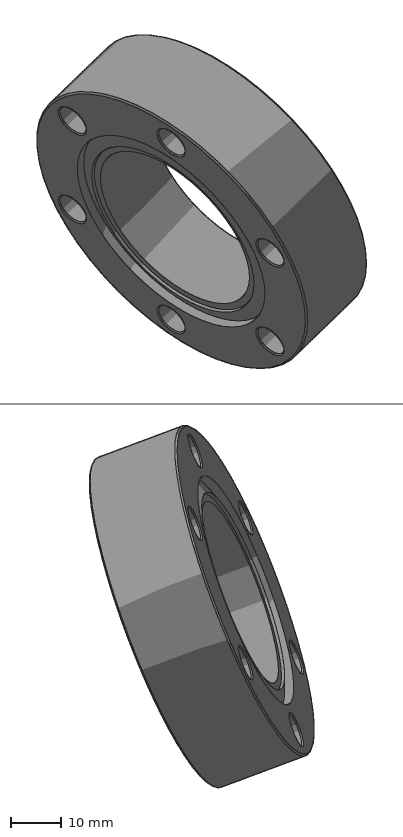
import cadquery as cq

outer_radius = 35.0
thickness = 19.0
bore_radius = 19.25
edge_chamfer = 0.35

recess_radius = 24.2
groove_depth = 1.95
knife_radius = 20.9
knife_depth = 0.55
knife_inner_radius = 20.8
ledge_depth = 1.2

bolt_count = 6
bolt_circle_radius = 29.5
bolt_hole_radius = 3.35
bolt_hole_chamfer = 0.3

front_y = -thickness / 2
back_y = thickness / 2


def make_body():
    """Revolve the flange half section, given as (radius, y), about the Y axis."""
    front_section = [
        (outer_radius, front_y + edge_chamfer),
        (outer_radius - edge_chamfer, front_y),
        (recess_radius, front_y),
        (recess_radius, front_y + groove_depth),
        (knife_radius, front_y + knife_depth),
        (knife_inner_radius, front_y + ledge_depth),
        (bore_radius, front_y + ledge_depth),
    ]
    back_section = [(radius, -y) for radius, y in reversed(front_section)]
    section = front_section + back_section
    return cq.Workplane("XY").polyline(section).close().revolve(360, (0, 0, 0), (0, 1, 0))


def make_bolt_hole_cutter():
    """Revolve one through hole, chamfered at both faces, on the Y axis."""
    mouth_radius = bolt_hole_radius + bolt_hole_chamfer
    section = [
        (0, front_y),
        (mouth_radius, front_y),
        (bolt_hole_radius, front_y + bolt_hole_chamfer),
        (bolt_hole_radius, back_y - bolt_hole_chamfer),
        (mouth_radius, back_y),
        (0, back_y),
    ]
    cutter = cq.Workplane("XY").polyline(section).close().revolve(360, (0, 0, 0), (0, 1, 0))
    return cutter.translate((0, 0, bolt_circle_radius))


result = make_body()
bolt_hole_cutter = make_bolt_hole_cutter()
for index in range(bolt_count):
    angle = index * 360 / bolt_count
    result = result.cut(bolt_hole_cutter.rotate((0, 0, 0), (0, 1, 0), angle))